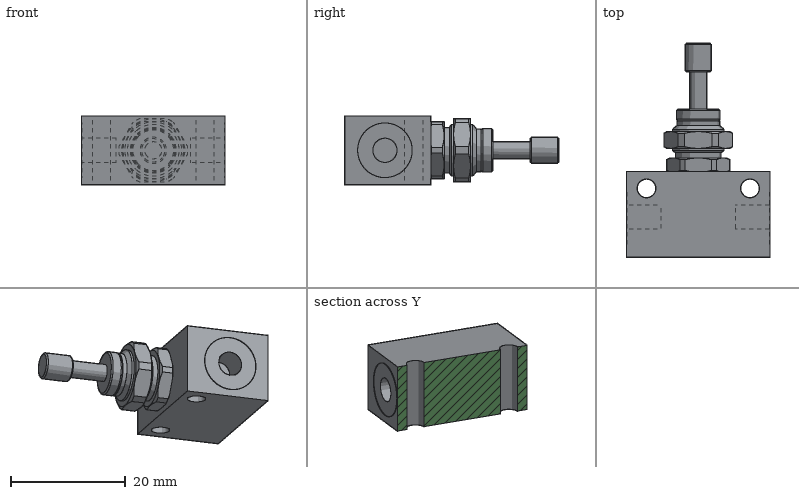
import cadquery as cq
import math

body_width = 25.0
body_depth = 15.0
body_height = 12.0
overall_length = 37.3

mount_hole_diameter = 3.2
mount_hole_spacing = 18.0
mount_hole_from_back = 3.0

port_y = 7.0
port_bore_diameter = 4.2
port_bore_depth = 6.0
port_recess_diameter = 9.5
port_recess_depth = 0.1

base_hex_flats = 10.0
base_hex_corners = 11.0
base_hex_face_diameter = 9.9
base_hex_chamfer = 0.35
base_hex_top = 17.35
base_hex_sunk = 0.2

nut_flats = 11.0
nut_corners = 12.0
nut_face_diameter = 10.93
nut_chamfer = 0.35
nut_bottom = 18.95
nut_thickness = 3.0
nut_top = nut_bottom + nut_thickness

neck_diameter = 8.0
shoulder_diameter = 9.0
shoulder_land = 0.37
lower_cone_length = 0.35
upper_cone_length = 0.67
sleeve_diameter = 7.5
sleeve_top = 23.72

collar_diameter = 7.6
collar_top = 25.8
collar_edge = 0.25
collar_bevel_length = 0.35
collar_bevel_diameter = 7.1

spindle_diameter = 3.0
knob_diameter = 4.6
knob_length = 5.0
knob_edge = 0.25


def make_body():
    """Block with two mounting holes and a recessed blind port at each X end."""
    body = cq.Workplane("XY").box(body_width, body_depth, body_height, centered=(True, False, True))
    mount_y = body_depth - mount_hole_from_back
    for side in (-1, 1):
        hole = (
            cq.Workplane("XY", origin=(side * mount_hole_spacing / 2, mount_y, 0))
            .circle(mount_hole_diameter / 2)
            .extrude(body_height / 2, both=True)
        )
        end = cq.Workplane("YZ", origin=(side * body_width / 2, port_y, 0))
        bore = end.circle(port_bore_diameter / 2).extrude(-side * port_bore_depth)
        recess = end.circle(port_recess_diameter / 2).extrude(-side * port_recess_depth)
        body = body.cut(hole).cut(bore).cut(recess)
    return body


def revolve_about_y(profile):
    """Turn a list of (radius, y) points, closed through the Y axis, into a solid."""
    return cq.Workplane("XY").polyline(profile).close().revolve(360, (0, 0, 0), (0, 1, 0))


def make_hexagon(bottom, top, flats, corners, face_diameter, chamfer):
    """Hexagon along Y with flats facing Z, turned corners and a chamfer at both ends."""
    prism = (
        cq.Workplane("XZ", origin=(0, bottom, 0))
        .polygon(6, flats / math.cos(math.pi / 6))
        .extrude(bottom - top)
    )
    envelope = revolve_about_y([
        (0, bottom),
        (face_diameter / 2, bottom),
        (corners / 2, bottom + chamfer),
        (corners / 2, top - chamfer),
        (face_diameter / 2, top),
        (0, top),
    ])
    return prism.intersect(envelope)


def make_fitting():
    """Turned fitting from inside the base hexagon up to the collar."""
    lower_land = nut_bottom - shoulder_land
    upper_land = nut_top + shoulder_land
    stem = revolve_about_y([
        (0, body_depth),
        (neck_diameter / 2, body_depth),
        (neck_diameter / 2, lower_land - lower_cone_length),
        (shoulder_diameter / 2, lower_land),
        (shoulder_diameter / 2, upper_land),
        (sleeve_diameter / 2, upper_land + upper_cone_length),
        (sleeve_diameter / 2, sleeve_top),
        (0, sleeve_top),
    ])
    collar = revolve_about_y([
        (0, sleeve_top),
        (collar_bevel_diameter / 2, sleeve_top),
        (collar_diameter / 2, sleeve_top + collar_bevel_length),
        (collar_diameter / 2, collar_top - collar_edge),
        (collar_diameter / 2 - collar_edge, collar_top),
        (0, collar_top),
    ])
    return stem.union(collar)


def make_spindle():
    """Spindle rising from the collar, ending in a knob with broken edges."""
    knob_bottom = overall_length - knob_length
    knob_radius = knob_diameter / 2
    return revolve_about_y([
        (0, collar_top),
        (spindle_diameter / 2, collar_top),
        (spindle_diameter / 2, knob_bottom),
        (knob_radius - knob_edge, knob_bottom),
        (knob_radius, knob_bottom + knob_edge),
        (knob_radius, overall_length - knob_edge),
        (knob_radius - knob_edge, overall_length),
        (0, overall_length),
    ])


base_hex = make_hexagon(
    body_depth - base_hex_sunk, base_hex_top,
    base_hex_flats, base_hex_corners, base_hex_face_diameter, base_hex_chamfer,
)
panel_nut = make_hexagon(nut_bottom, nut_top, nut_flats, nut_corners, nut_face_diameter, nut_chamfer)

result = make_body().union(base_hex).union(make_fitting()).union(panel_nut).union(make_spindle())